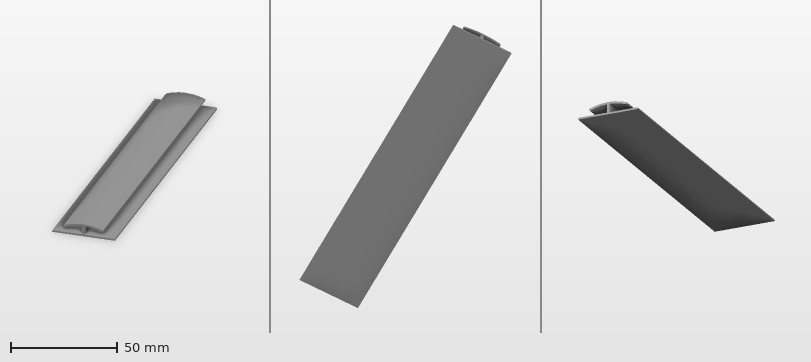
import cadquery as cq
import math

length = 152.4
base_width = 31.2
height = 6.2

base_thickness = 0.9
edge_radius = 0.6

web_width = 1.4

cap_width = 19.8
cap_thickness = 1.0
cap_radius = 27.1


def make_base():
    strip = cq.Workplane("XY").box(base_width, length, base_thickness, centered=(True, True, False))
    return strip.edges("|Y and >Z").fillet(edge_radius)


def make_web():
    web_top = height - cap_thickness / 2
    return cq.Workplane("XY").box(web_width, length, web_top, centered=(True, True, False))


def make_cap():
    center_z = height - cap_radius
    inner_radius = cap_radius - cap_thickness
    tip_radius = cap_thickness / 2
    middle_radius = cap_radius - tip_radius
    half_angle = math.asin((cap_width / 2 - tip_radius) / middle_radius)

    def arc_end(radius):
        return radius * math.sin(half_angle), center_z + radius * math.cos(half_angle)

    outer_x, outer_z = arc_end(cap_radius)
    inner_x, inner_z = arc_end(inner_radius)
    middle_x, middle_z = arc_end(middle_radius)
    tip_x = middle_x + tip_radius * math.cos(half_angle)
    tip_z = middle_z - tip_radius * math.sin(half_angle)
    return (
        cq.Workplane("XZ")
        .moveTo(-outer_x, outer_z)
        .threePointArc((0, height), (outer_x, outer_z))
        .threePointArc((tip_x, tip_z), (inner_x, inner_z))
        .threePointArc((0, height - cap_thickness), (-inner_x, inner_z))
        .threePointArc((-tip_x, tip_z), (-outer_x, outer_z))
        .close()
        .extrude(length / 2, both=True)
    )


result = make_base().union(make_web()).union(make_cap())